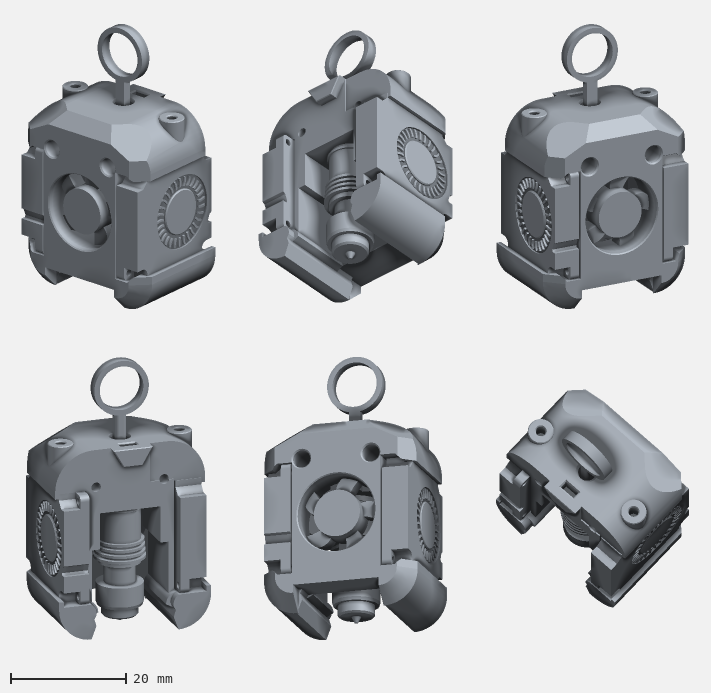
import cadquery as cq
import math

DEPTH = 20.0
TOTAL_HEIGHT = 47.9

CAP_TOP = 33.8
CAP_BOTTOM = 25.55
CAP_HALF_WIDTH = 13.8
CAP_DEPTH = 17.5
CAP_RADIUS = 7.0
CAP_EDGE_X = 5.0
CAP_EDGE_DEPTH = 2.65
CAP_EDGE_DROP = 2.35
CAP_CORNER_X = 11.15
LEFT_BACK_STEP = 0.25

CORE_HALF_WIDTH = 8.0
CORE_BOTTOM = 4.3
CEILING = 22.1
SHOULDER_Z = 15.4
UPPER_CAVITY_HALF_WIDTH = 5.55
LOWER_CAVITY_HALF_WIDTH = 7.0

DUCT_HALF_WIDTH = 13.95
DUCT_RADIUS = 6.05
DUCT_TOP = 7.45
DUCT_CHAMFER = 2.87
DUCT_MOUTH_X = 7.75
DUCT_BULGE_X = 7.1
DUCT_WEB_X = 6.25
DUCT_WEB_BACK = 18.5
DUCT_MOUTH_DEPTH = 3.0
DUCT_WAIST = (7.45, 3.65)
DUCT_BULGE_Z = 2.4
PASSAGE_ARC_MIDDLE = (7.4, 5.8)
WEB_ARC_MIDDLE = (6.8, 5.8)
FRONT_SKIN = 0.57

LIP_INNER_X = 10.7
LIP_BEVEL = 1.0

BLOWER_SIZE = DEPTH
BLOWER_BOTTOM = 6.4
BLOWER_TOP = BLOWER_BOTTOM + BLOWER_SIZE
BLOWER_OUTER_X = 13.1
BLOWER_INNER_X = 8.35
LUG_OUTER_X = 10.0
LUG_SIZE = 2.65
LUG_HOLE_DIAMETER = 1.25
LUG_HOLE_INSET = 1.3
LUG_RADIUS = 0.95
LUG_STEP_HEIGHT = 2.35
LUG_STEP_CHAMFER = 1.15
LUG_STEP_RADIUS = 1.3
INTAKE_DIAMETER = 13.5
INTAKE_Y = 7.95
INTAKE_Z = 16.53
INTAKE_DEPTH = 0.4
IMPELLER_Y = 8.2
IMPELLER_HUB_DIAMETER = 8.4
IMPELLER_FACE_DIAMETER = 8.0
IMPELLER_BLADES = 29
IMPELLER_INNER_R = 4.75
IMPELLER_OUTER_R = 6.4
IMPELLER_BLADE_WIDTH = 0.4
IMPELLER_BLADE_BOW = 0.15
NOTCH_OUTLINE = [(0, 14.0), (0.55, 13.7), (1.05, 12.45), (0.85, 12.05), (0, 12.05)]

FAN_Z = 16.75
FAN_SIZE = 15.0
FAN_BACK = 6.7
FAN_BORE = 14.0
FAN_OPENING_CHAMFER = 0.2
FAN_HUB_DIAMETER = 8.4
FAN_HUB_BACK = 5.5
FAN_BLADE_FRONT = 2.8
FAN_BLADE_BACK = FAN_HUB_BACK
FAN_BLADES = 5
FAN_TIP_R = 6.8
FAN_BLADE_LOWER = [(3.5, -0.3), (5.25, -0.57), (7.2, -1.35)]
FAN_BLADE_UPPER = [(3.5, 1.95), (5.05, 2.35), (7.2, 1.15)]
STRUT_HALF_WIDTH = 1.15
STRUT_BOTTOM = 10.83
STRUT_TOP_HALF_WIDTH = 2.75

SCREW_X = 6.27
SCREW_Z = 26.95
SCREW_DIAMETER = 1.72
SCREW_HEAD_DIAMETER = 3.1
SCREW_HEAD_DEPTH = 11.98
SCREW_CHAMFER = 0.25
BRIDGE_STEP = 0.25
BRIDGE_HEIGHT = 1.7
BRIDGE_WIDTH = 1.75

BOSS_X = 10.85
BOSS_TOP = CAP_TOP
BOSS_DIAMETER = 4.5
BOSS_CHAMFER = 0.15
BOSS_HOLE = 1.72
BOSS_HOLE_MOUTH = 2.1
BOSS_HOLE_DEPTH = 3.85

TAB_HALF_WIDTH = 3.65
TAB_FOOT_HALF_WIDTH = 1.72
TAB_CHAMFER = 0.15
TAB_BACK = 19.05
TAB_BOTTOM = 30.55
SOCKET_WIDTH = 2.9
SOCKET_LENGTH = 1.35
SOCKET_CHAMFER = 0.25
SOCKET_DEPTH = 2.87
SOCKET_Y = 16.35

AXIS_Y = 11.9
NECK_DIAMETER = 3.1
NECK_TOP = 26.82
NECK_HOLE_CHAMFER = 0.45
HEATSINK_R = 3.75
HEATSINK_BOTTOM = 10.83
FIN_COUNT = 4
FIN_PITCH = 1.0
FIN_THICKNESS = 0.5
FIN_BOTTOM = 11.75
FIN_LARGE_R = 4.6
FIN_TAPER = 0.1
FLANGE_R = 4.0
FLANGE_BOTTOM = 21.05
THROAT_R = 2.8
COLLAR_TOP = 7.2
COLLAR_DIAMETER = 8.4
COLLAR_R = COLLAR_DIAMETER / 2
COLLAR_BOTTOM = 3.1
COLLAR_CHAMFER = 0.2
COLLAR_CHAMFER_HEIGHT = 0.57
BLOCK_R = 3.25
BLOCK_BOTTOM = 1.1
BLOCK_CHAMFER = 0.35
NOZZLE_R = 0.85
NOZZLE_TIP_R = 0.3
NOZZLE_TIP = 0.05
LOOP_OUTER_DIAMETER = 10.0
LOOP_OUTER_R = LOOP_OUTER_DIAMETER / 2
LOOP_INNER_DIAMETER = 8.0
LOOP_INNER_R = LOOP_INNER_DIAMETER / 2
LOOP_WIDTH = 2.0
STEM_BACK_RADIUS = 0.6


def block(x0, x1, y0, y1, z0, z1):
    """Axis-aligned box between two opposite corners."""
    return cq.Workplane("XY").box(x1 - x0, y1 - y0, z1 - z0, centered=False).translate((x0, y0, z0))


def along_y(x, z, y0, y1, radius):
    """Cylinder parallel to Y."""
    return cq.Workplane("XY").add(
        cq.Solid.makeCylinder(radius, y1 - y0, cq.Vector(x, y0, z), cq.Vector(0, 1, 0)))


def along_z(x, y, z0, z1, radius):
    """Cylinder parallel to Z."""
    return cq.Workplane("XY").add(
        cq.Solid.makeCylinder(radius, z1 - z0, cq.Vector(x, y, z0), cq.Vector(0, 0, 1)))


def cone_along(point, direction, start_radius, end_radius, length):
    """Frustum that starts at a point and runs along a direction."""
    return cq.Workplane("XY").add(
        cq.Solid.makeCone(start_radius, end_radius, length, cq.Vector(*point), cq.Vector(*direction)))


def extrude_y(outline, y0, y1):
    """Extrude a closed outline, drawn on the XZ plane, from y0 to y1."""
    return outline.extrude(-(y1 - y0)).translate((0, y0, 0))


def beyond_plane(point, normal):
    """Large block on the outer side of a plane."""
    size = 2 * DEPTH
    return cq.Workplane(cq.Plane(origin=point, normal=normal)).rect(size, size).extrude(size)



def lug_step(z_edge, y_edge, z_in, y_in):
    """Block that lowers one corner of the blower to its lug."""
    return block(-BLOWER_OUTER_X, -LUG_OUTER_X, min(y_edge, y_in), max(y_edge, y_in),
                 min(z_edge, z_in), max(z_edge, z_in))


def blower_corners():
    """Material removed from the four corners of the left blower."""
    step_z = BLOWER_TOP - LUG_STEP_HEIGHT
    low_z = BLOWER_BOTTOM + LUG_SIZE
    back_y = DEPTH - LUG_SIZE
    front_top = lug_step(BLOWER_TOP, 0, step_z, LUG_SIZE)
    front_top = front_top.edges("|X and >Y and <Z").chamfer(LUG_STEP_CHAMFER)
    front_low = lug_step(BLOWER_BOTTOM, 0, low_z, LUG_SIZE)
    front_low = front_low.edges("|X and >Y and >Z").fillet(LUG_STEP_RADIUS)
    back_low = lug_step(BLOWER_BOTTOM, DEPTH, low_z, back_y)
    back_low = back_low.edges("|X and <Y and >Z").fillet(LUG_STEP_RADIUS)
    open_corner = block(-BLOWER_OUTER_X, -BLOWER_INNER_X, back_y, DEPTH, step_z, BLOWER_TOP)
    open_corner = open_corner.edges("|X and <Y and <Z").chamfer(LUG_STEP_CHAMFER)
    return front_top.union(front_low).union(back_low).union(open_corner)


def lug_holes():
    """Holes through the three lugs of the left blower."""
    front, back = LUG_HOLE_INSET, DEPTH - LUG_HOLE_INSET
    low, high = BLOWER_BOTTOM + LUG_HOLE_INSET, BLOWER_TOP - LUG_HOLE_INSET
    return (cq.Workplane("YZ", origin=(-BLOWER_OUTER_X, 0, 0))
            .pushPoints([(front, high), (front, low), (back, low)])
            .circle(LUG_HOLE_DIAMETER / 2)
            .extrude(BLOWER_OUTER_X - BLOWER_INNER_X))


def impeller():
    """Hub and curved blades that stand on the floor of the intake."""
    floor_x = -BLOWER_OUTER_X + INTAKE_DEPTH
    face = (cq.Workplane("YZ", origin=(floor_x, 0, 0)).center(IMPELLER_Y, INTAKE_Z))
    hub_chamfer = (IMPELLER_HUB_DIAMETER - IMPELLER_FACE_DIAMETER) / 2
    wheel = face.circle(IMPELLER_HUB_DIAMETER / 2).extrude(-INTAKE_DEPTH)
    wheel = wheel.faces("<X").chamfer(hub_chamfer)
    middle_r = (IMPELLER_INNER_R + IMPELLER_OUTER_R) / 2
    half = IMPELLER_BLADE_WIDTH / 2
    blade = (face.moveTo(IMPELLER_INNER_R, -half)
             .threePointArc((middle_r, IMPELLER_BLADE_BOW - half), (IMPELLER_OUTER_R, -half))
             .lineTo(IMPELLER_OUTER_R, half)
             .threePointArc((middle_r, IMPELLER_BLADE_BOW + half), (IMPELLER_INNER_R, half))
             .close().extrude(-INTAKE_DEPTH))
    for i in range(IMPELLER_BLADES):
        angle = 360 * i / IMPELLER_BLADES
        wheel.add(blade.rotate((0, IMPELLER_Y, INTAKE_Z), (1, IMPELLER_Y, INTAKE_Z), angle))
    return wheel.combine()


def make_left_blower():
    body = block(-BLOWER_OUTER_X, -BLOWER_INNER_X, 0, DEPTH, BLOWER_BOTTOM, BLOWER_TOP)
    for corner in ("<Y and >Z", "<Y and <Z", ">Y and <Z"):
        body = body.edges("|X and " + corner).fillet(LUG_RADIUS)
    notch = (cq.Workplane("YZ", origin=(-BLOWER_OUTER_X, 0, 0))
             .polyline(NOTCH_OUTLINE)
             .close().extrude(BLOWER_OUTER_X - BLOWER_INNER_X))
    intake = (cq.Workplane("YZ", origin=(-BLOWER_OUTER_X, INTAKE_Y, INTAKE_Z))
              .circle(INTAKE_DIAMETER / 2).extrude(INTAKE_DEPTH))
    body = body.cut(blower_corners()).cut(lug_holes()).cut(notch).cut(intake)
    return body.union(impeller())



def cap():
    """Rounded upper shell with a hooked lip on each side."""
    round_z = CAP_TOP - CAP_RADIUS
    round_x = CAP_HALF_WIDTH - CAP_RADIUS
    arc_step = CAP_RADIUS * math.sqrt(0.5)
    lip_x = LIP_INNER_X + LIP_BEVEL
    outline = (cq.Workplane("XZ")
               .moveTo(0, BLOWER_TOP)
               .lineTo(LIP_INNER_X, BLOWER_TOP)
               .lineTo(lip_x, CAP_BOTTOM)
               .lineTo(CAP_HALF_WIDTH, CAP_BOTTOM)
               .lineTo(CAP_HALF_WIDTH, round_z)
               .threePointArc((round_x + arc_step, round_z + arc_step), (round_x, CAP_TOP))
               .lineTo(0, CAP_TOP)
               .close())
    half = extrude_y(outline, 0, CAP_DEPTH)
    return half.union(half.mirror("YZ"))


def cap_bevels():
    """Front edge bevel, and per side a corner slope facing (1, -1, 2) above an upright 45 degree one."""
    cuts = beyond_plane((0, 0, CAP_TOP - CAP_EDGE_DROP), (0, -CAP_EDGE_DROP, CAP_EDGE_DEPTH))
    for side in (-1, 1):
        point = (side * CAP_EDGE_X, CAP_EDGE_DEPTH, CAP_TOP)
        slope = beyond_plane(point, (side, -1, 2))
        corner = beyond_plane((side * CAP_CORNER_X, 0, CAP_BOTTOM), (side, -1, 0))
        cuts = cuts.union(slope).union(corner)
    return cuts


def boss(side):
    """Round post on a cap shoulder."""
    post = along_z(side * BOSS_X, AXIS_Y, BLOWER_TOP, BOSS_TOP, BOSS_DIAMETER / 2)
    return post.faces(">Z").chamfer(BOSS_CHAMFER)


def boss_hole(side):
    """Blind hole with a countersunk mouth."""
    chamfer = (BOSS_HOLE_MOUTH - BOSS_HOLE) / 2
    hole = along_z(side * BOSS_X, AXIS_Y, BOSS_TOP - BOSS_HOLE_DEPTH, BOSS_TOP, BOSS_HOLE / 2)
    mouth = cone_along((side * BOSS_X, AXIS_Y, BOSS_TOP), (0, 0, -1),
                       BOSS_HOLE_MOUTH / 2, BOSS_HOLE / 2, chamfer)
    return hole.union(mouth)


def ducts():
    """Two curved air ducts with bevelled front edges."""
    lip_x = LIP_INNER_X + LIP_BEVEL
    envelope = block(-DUCT_HALF_WIDTH, DUCT_HALF_WIDTH, 0, DEPTH, 0, CAP_TOP)
    envelope = envelope.edges("|Y and <Z").fillet(DUCT_RADIUS)
    envelope = envelope.faces("<Y").chamfer(DUCT_CHAMFER)

    lip = [(CORE_HALF_WIDTH, BLOWER_BOTTOM), (LIP_INNER_X, BLOWER_BOTTOM),
           (lip_x, DUCT_TOP), (DUCT_HALF_WIDTH, DUCT_TOP), (DUCT_HALF_WIDTH, 0)]
    mouth = [(DUCT_MOUTH_X, 0), (DUCT_MOUTH_X, BLOWER_BOTTOM)]
    throat = [(CORE_HALF_WIDTH, 0), (DUCT_BULGE_X, DUCT_BULGE_Z), DUCT_WAIST, (DUCT_BULGE_X, CORE_BOTTOM)]
    duct = extrude_y(cq.Workplane("XZ").polyline(lip + mouth).close(), 0, DUCT_MOUTH_DEPTH)
    passage = cq.Workplane("XZ").polyline(lip + throat)
    passage = passage.threePointArc(PASSAGE_ARC_MIDDLE, lip[0]).close()
    duct = duct.union(extrude_y(passage, DUCT_MOUTH_DEPTH, DEPTH))
    web = cq.Workplane("XZ").polyline([lip[0], DUCT_WAIST, (DUCT_WEB_X, CORE_BOTTOM)])
    web = web.threePointArc(WEB_ARC_MIDDLE, lip[0]).close()
    duct = duct.union(extrude_y(web, FAN_BACK, DUCT_WEB_BACK))
    return duct.union(duct.mirror("YZ")).intersect(envelope)


def core():
    """Block between the blowers, hollowed from the back and below for the fan and the hot end."""
    body = block(-CORE_HALF_WIDTH, CORE_HALF_WIDTH, 0, CAP_DEPTH, CORE_BOTTOM, CAP_TOP - CAP_RADIUS)
    taper_back = FAN_BACK + LOWER_CAVITY_HALF_WIDTH - UPPER_CAVITY_HALF_WIDTH
    plan = [(LOWER_CAVITY_HALF_WIDTH, FAN_BACK), (UPPER_CAVITY_HALF_WIDTH, taper_back),
            (UPPER_CAVITY_HALF_WIDTH, CAP_DEPTH), (-UPPER_CAVITY_HALF_WIDTH, CAP_DEPTH),
            (-UPPER_CAVITY_HALF_WIDTH, taper_back), (-LOWER_CAVITY_HALF_WIDTH, FAN_BACK)]
    upper = (cq.Workplane("XY", origin=(0, 0, CORE_BOTTOM))
             .polyline(plan).close().extrude(CEILING - CORE_BOTTOM))
    lower = block(-LOWER_CAVITY_HALF_WIDTH, LOWER_CAVITY_HALF_WIDTH, FAN_BACK, CAP_DEPTH,
                  CORE_BOTTOM, SHOULDER_Z)
    half = FAN_SIZE / 2
    pocket = block(-half, half, FRONT_SKIN, FAN_BACK, FAN_Z - half, FAN_Z + half)
    opening = along_y(0, FAN_Z, 0, FRONT_SKIN, FAN_BORE / 2)
    rim = cone_along((0, 0, FAN_Z), (0, 1, 0), FAN_BORE / 2 + FAN_OPENING_CHAMFER,
                     FAN_BORE / 2, FAN_OPENING_CHAMFER)
    return body.cut(upper).cut(lower).cut(pocket).cut(opening).cut(rim)


def screw_hole(x):
    """Counterbored through hole whose shoulder steps down through a slot and a rectangle."""
    head_r = SCREW_HEAD_DIAMETER / 2
    slot_end = SCREW_HEAD_DEPTH + BRIDGE_STEP
    half_height = BRIDGE_HEIGHT / 2
    half_width = BRIDGE_WIDTH / 2
    low, high = SCREW_Z - half_height, SCREW_Z + half_height
    hole = along_y(x, SCREW_Z, 0, CAP_DEPTH, SCREW_DIAMETER / 2)
    head = along_y(x, SCREW_Z, 0, SCREW_HEAD_DEPTH, head_r)
    mouth = cone_along((x, 0, SCREW_Z), (0, 1, 0), head_r + SCREW_CHAMFER, head_r, SCREW_CHAMFER)
    slot = along_y(x, SCREW_Z, SCREW_HEAD_DEPTH, slot_end, head_r)
    slot = slot.intersect(block(x - head_r, x + head_r, SCREW_HEAD_DEPTH, slot_end, low, high))
    rectangle = block(x - half_width, x + half_width, slot_end, slot_end + BRIDGE_STEP, low, high)
    return hole.union(head).union(mouth).union(slot).union(rectangle)


def neck_hole():
    """Countersunk hole down the hot end axis, from the cap top to the cavity."""
    radius = NECK_DIAMETER / 2
    hole = along_z(0, AXIS_Y, CEILING, CAP_TOP, radius)
    mouth = cone_along((0, AXIS_Y, CAP_TOP), (0, 0, -1), radius + NECK_HOLE_CHAMFER, radius,
                       NECK_HOLE_CHAMFER)
    return hole.union(mouth)


def socket():
    """Rectangular connector socket with a bevelled mouth."""
    well = block(-SOCKET_WIDTH / 2, SOCKET_WIDTH / 2, SOCKET_Y - SOCKET_LENGTH / 2,
                 SOCKET_Y + SOCKET_LENGTH / 2, CAP_TOP - SOCKET_DEPTH, CAP_TOP)
    mouth = (cq.Workplane("XY", origin=(0, SOCKET_Y, CAP_TOP))
             .rect(SOCKET_WIDTH + 2 * SOCKET_CHAMFER, SOCKET_LENGTH + 2 * SOCKET_CHAMFER)
             .extrude(-SOCKET_CHAMFER, taper=45))
    return well.union(mouth)


def connector_tab():
    """Tab behind the cap that narrows downward."""
    outline = [(-TAB_HALF_WIDTH, CAP_TOP), (TAB_HALF_WIDTH, CAP_TOP),
               (TAB_FOOT_HALF_WIDTH, TAB_BOTTOM), (-TAB_FOOT_HALF_WIDTH, TAB_BOTTOM)]
    tab = extrude_y(cq.Workplane("XZ").polyline(outline).close(), CAP_DEPTH - LEFT_BACK_STEP, TAB_BACK)
    return tab.faces(">Y").chamfer(TAB_CHAMFER)


def blower_bays():
    """Clear space for the blowers behind the front lips."""
    bay = block(CORE_HALF_WIDTH, BLOWER_OUTER_X, LUG_SIZE, DEPTH, BLOWER_BOTTOM, BLOWER_TOP)
    return bay.union(bay.mirror("YZ"))


def make_housing(blowers):
    back_step = block(-CAP_HALF_WIDTH, -TAB_HALF_WIDTH, CAP_DEPTH - LEFT_BACK_STEP, CAP_DEPTH,
                      CAP_BOTTOM, CAP_TOP)
    body = cap().cut(cap_bevels()).cut(back_step).union(connector_tab()).union(core()).union(ducts())
    for side in (-1, 1):
        body = body.union(boss(side)).cut(boss_hole(side)).cut(screw_hole(side * SCREW_X))
    body = body.cut(neck_hole()).cut(socket()).cut(blower_bays())
    for blower in blowers:
        body = body.cut(blower)
    return body



def fan_blade():
    """One curved blade pointing along +X from the fan axis, limited to the tip radius."""
    outline = (cq.Workplane("XZ")
               .moveTo(*FAN_BLADE_LOWER[0])
               .threePointArc(FAN_BLADE_LOWER[1], FAN_BLADE_LOWER[2])
               .lineTo(*FAN_BLADE_UPPER[2])
               .threePointArc(FAN_BLADE_UPPER[1], FAN_BLADE_UPPER[0])
               .close())
    blade = extrude_y(outline, FAN_BLADE_FRONT, FAN_BLADE_BACK)
    tip = along_y(0, 0, FAN_BLADE_FRONT, FAN_BLADE_BACK, FAN_TIP_R)
    return blade.intersect(tip).translate((0, 0, FAN_Z))


def fan_strut():
    """Rear arm that carries the hub from the top of the frame."""
    outline = [(-STRUT_HALF_WIDTH, STRUT_BOTTOM), (STRUT_HALF_WIDTH, STRUT_BOTTOM),
               (STRUT_HALF_WIDTH, CEILING), (STRUT_TOP_HALF_WIDTH, CEILING),
               (STRUT_TOP_HALF_WIDTH, FAN_Z + FAN_SIZE / 2),
               (-STRUT_TOP_HALF_WIDTH, FAN_Z + FAN_SIZE / 2),
               (-STRUT_TOP_HALF_WIDTH, CEILING), (-STRUT_HALF_WIDTH, CEILING)]
    return extrude_y(cq.Workplane("XZ").polyline(outline).close(), FAN_HUB_BACK, FAN_BACK)


def make_fan():
    half = FAN_SIZE / 2
    frame = block(-half, half, FRONT_SKIN, FAN_BACK, FAN_Z - half, FAN_Z + half)
    frame = frame.cut(along_y(0, FAN_Z, FRONT_SKIN, FAN_BACK, FAN_BORE / 2))
    fan = frame.union(fan_strut()).union(along_y(0, FAN_Z, FRONT_SKIN, FAN_HUB_BACK, FAN_HUB_DIAMETER / 2))
    for i in range(FAN_BLADES):
        fan = fan.union(fan_blade().rotate((0, 0, FAN_Z), (0, 1, FAN_Z), 360 * i / FAN_BLADES))
    return fan



def make_hot_end():
    profile = [(0, NOZZLE_TIP), (NOZZLE_TIP_R, NOZZLE_TIP), (NOZZLE_R, BLOCK_BOTTOM),
               (BLOCK_R - BLOCK_CHAMFER, BLOCK_BOTTOM), (BLOCK_R, BLOCK_BOTTOM + BLOCK_CHAMFER),
               (BLOCK_R, COLLAR_BOTTOM), (COLLAR_R - COLLAR_CHAMFER, COLLAR_BOTTOM),
               (COLLAR_R, COLLAR_BOTTOM + COLLAR_CHAMFER_HEIGHT), (COLLAR_R, COLLAR_TOP),
               (THROAT_R, COLLAR_TOP), (THROAT_R, HEATSINK_BOTTOM),
               (HEATSINK_R, HEATSINK_BOTTOM), (HEATSINK_R, CEILING),
               (NECK_DIAMETER / 2, CEILING), (NECK_DIAMETER / 2, NECK_TOP), (0, NECK_TOP)]
    hot_end = cq.Workplane("XZ").polyline(profile).close().revolve(360, (0, 0, 0), (0, 1, 0))
    hot_end = hot_end.translate((0, AXIS_Y, 0))
    flange = along_z(0, AXIS_Y, FLANGE_BOTTOM, FLANGE_BOTTOM + FIN_THICKNESS, FLANGE_R)
    hot_end = hot_end.union(flange)
    for i in range(FIN_COUNT):
        z = FIN_BOTTOM + i * FIN_PITCH
        hot_end = hot_end.union(along_z(0, AXIS_Y, z, z + FIN_THICKNESS, FIN_LARGE_R - i * FIN_TAPER))
    return hot_end



def make_filament_loop():
    """Ring on a stem that stands on the neck of the hot end."""
    centre_z = TOTAL_HEIGHT - LOOP_OUTER_R
    half = LOOP_WIDTH / 2
    front, back = AXIS_Y - half, AXIS_Y + half
    stem = block(-half, half, front, back, NECK_TOP, centre_z)
    stem = stem.edges("|Z and >Y").fillet(STEM_BACK_RADIUS)
    ring = along_y(0, centre_z, front, back, LOOP_OUTER_R)
    return ring.union(stem).cut(along_y(0, centre_z, front, back, LOOP_INNER_R))


left_blower = make_left_blower()
right_blower = left_blower.rotate((0, DEPTH / 2, 0), (0, DEPTH / 2, 1), 180)
housing = make_housing([left_blower, right_blower])
fan = make_fan()
hot_end = make_hot_end()
filament_loop = make_filament_loop()

result = cq.Compound.makeCompound([
    *housing.solids().vals(),
    *fan.solids().vals(),
    *hot_end.solids().vals(),
    *filament_loop.solids().vals(),
    *left_blower.solids().vals(),
    *right_blower.solids().vals(),
])